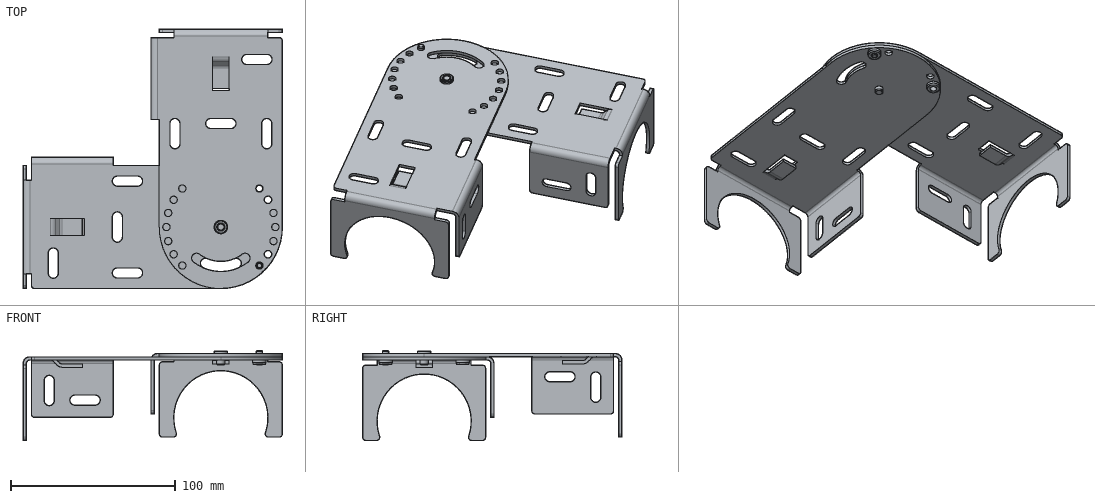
import cadquery as cq
import math


overall_length = 158.0
plate_width = 75.0
sheet = 2.0
bend_inner_radius = 2.0
bend_mid_radius = bend_inner_radius + sheet / 2
bend_outer_radius = bend_inner_radius + sheet
corner_radius = 2.0

flange_gap = 5.0
half_width = plate_width / 2
plate_reach = overall_length - half_width - flange_gap
end_flange_depth = 51.0
clamp_diameter = 57.2
clamp_axis_depth = 39.2
side_flange_length = 50.0
side_flange_depth = 37.0

slot_length = 18.3
slot_width = 6.0
slot_across = 28.0
plate_slots = [
    (56.9, slot_across, 0),
    (56.9, -slot_across, 0),
    (63.0, 0, 90),
    (102.0, -22.0, 90),
]
upright_slot_from_end = 10.9
upright_slot_depth = 20.5
level_slot_from_end = 32.7
lower_level_slot_depth = 26.4
upper_level_slot_depth = 14.2

tongue_root = 103.6
tongue_opening = 20.4
tongue_width = 10.1
tongue_length = 19.3
tongue_slope_angle = 45
tongue_slope_run = 2.5

index_radius = 33.2
index_diameter = 4.5
index_step = 15
index_limit = 45
clearance_angles = [-30, 30]
boss_angles = [-45, 45]
curved_slot_radius = 24.0
upper_slot_half_angle = 38
lower_slot_half_angle = 23
curved_slot_direction = -90

boss_diameter = 8.2
boss_rim_inset = 0.5
upper_boss_height = 1.6
lower_boss_height = 2.5
lower_boss_rim_height = 1.0
upper_boss_rim_height = 0.5
pivot_diameter = 5.0
pivot_top = sheet + 1.5
lock_diameter = 4.0
lock_top = sheet + 1.9
lock_angle = -45
pin_bottom = -sheet - 3.0
pin_chamfer = 0.6
cut_depth = 15.8


def polar(radius, angle):
    return (radius * math.cos(math.radians(angle)), radius * math.sin(math.radians(angle)))


def cylinder(diameter, bottom, top, x=0, y=0):
    return cq.Workplane("XY", origin=(x, y, bottom)).circle(diameter / 2).extrude(top - bottom)


def holes_through(diameter, points):
    holes = cq.Workplane("XY").pushPoints(points).circle(diameter / 2)
    return holes.extrude(cut_depth, both=True)


def straight_slot(x, y, angle):
    slot = cq.Workplane("XY", origin=(x, y, 0)).slot2D(slot_length, slot_width, angle)
    return slot.extrude(cut_depth, both=True)


def bent_strip(width, depth):
    """Strip leaving a plate edge at X = 0 toward -X and turning down to the given depth."""
    path = (
        cq.Workplane("XZ", origin=(0, 0, -sheet / 2))
        .lineTo(bend_outer_radius - flange_gap, 0)
        .tangentArcPoint((-bend_mid_radius, -bend_mid_radius))
        .lineTo(sheet / 2 - flange_gap, sheet / 2 - depth)
    )
    section = cq.Workplane("YZ", origin=(0, 0, -sheet / 2)).rect(width, sheet)
    return section.sweep(path)


def end_flange():
    """Flange at the end of the plate, with a C-shaped opening that holds a tube."""
    crown_depth = clamp_axis_depth - clamp_diameter / 2
    neck = bent_strip(clamp_diameter, crown_depth)
    wall_height = end_flange_depth - flange_gap
    wall = (
        cq.Workplane("XY")
        .box(sheet, plate_width, wall_height, centered=(False, True, False))
        .translate((-flange_gap, 0, -end_flange_depth))
    )
    opening = (
        cq.Workplane("YZ", origin=(0, 0, -clamp_axis_depth))
        .circle(clamp_diameter / 2)
        .extrude(cut_depth, both=True)
    )
    wall = wall.cut(opening).edges("|X").fillet(corner_radius)
    return neck.union(wall).translate((-plate_reach, 0, 0))


def side_flange(level_slot_depth):
    """Slotted flange along the +Y edge, starting at the end of the plate."""
    flange = bent_strip(side_flange_length, side_flange_depth)
    flange = flange.faces("<Z").edges("|X").fillet(corner_radius)
    flange = flange.rotate((0, 0, 0), (0, 0, 1), -90)
    flange = flange.translate((side_flange_length / 2 - plate_reach, half_width, 0))
    slots = [
        (upright_slot_from_end, upright_slot_depth, 90),
        (level_slot_from_end, level_slot_depth, 0),
    ]
    for from_end, depth, angle in slots:
        slot = straight_slot(from_end - plate_reach, 0, angle)
        slot = slot.rotate((0, 0, 0), (1, 0, 0), 90)
        flange = flange.cut(slot.translate((0, half_width, -depth)))
    return flange


def tongue():
    """Tongue bent down at its root and bent level again below the plate."""
    angle = math.radians(tongue_slope_angle)
    bend_run = bend_mid_radius * math.sin(angle)
    bend_drop = bend_mid_radius * (1 - math.cos(angle))
    slope_drop = tongue_slope_run * math.tan(angle)
    level_length = tongue_length - 2 * bend_run - tongue_slope_run
    path = (
        cq.Workplane("XZ", origin=(-tongue_root, 0, -sheet / 2))
        .moveTo(-sheet, 0)
        .lineTo(0, 0)
        .tangentArcPoint((bend_run, -bend_drop))
        .line(tongue_slope_run, -slope_drop)
        .tangentArcPoint((bend_run, -bend_drop))
        .line(level_length, 0)
    )
    section = cq.Workplane("YZ", origin=(-tongue_root - sheet, 0, -sheet / 2)).rect(tongue_width, sheet)
    return section.sweep(path)


def plate():
    """Flat plate rounded around the pivot, with its straight slots and the tongue opening."""
    body = (
        cq.Workplane("XY", origin=(0, 0, -sheet))
        .moveTo(0, half_width)
        .lineTo(-plate_reach, half_width)
        .lineTo(-plate_reach, -half_width)
        .lineTo(0, -half_width)
        .threePointArc((half_width, 0), (0, half_width))
        .close()
        .extrude(sheet)
    )
    body = body.edges("|Z and <X and <Y").fillet(corner_radius)
    for distance, across, angle in plate_slots:
        body = body.cut(straight_slot(-distance, across, angle))
    opening = cq.Workplane("XY").box(tongue_opening, tongue_width, cut_depth, centered=(False, True, True))
    return body.cut(opening.translate((-tongue_root, 0, 0)))


def bracket(level_slot_depth):
    flanges = end_flange().union(side_flange(level_slot_depth))
    return plate().union(tongue()).union(flanges)


def curved_slot(half_angle):
    """Slot along an arc around the pivot, with round ends."""
    inner = curved_slot_radius - slot_width / 2
    outer = curved_slot_radius + slot_width / 2
    start = curved_slot_direction - half_angle
    end = curved_slot_direction + half_angle
    slot = (
        cq.Workplane("XY")
        .moveTo(*polar(outer, start))
        .threePointArc(polar(outer, curved_slot_direction), polar(outer, end))
        .tangentArcPoint(polar(inner, end), relative=False)
        .threePointArc(polar(inner, curved_slot_direction), polar(inner, start))
        .tangentArcPoint(polar(outer, start), relative=False)
        .close()
    )
    return slot.extrude(cut_depth, both=True)


def lower_bracket():
    """Bracket toward -X, with a boss under each of its two locking holes."""
    body = bracket(lower_level_slot_depth).cut(curved_slot(lower_slot_half_angle))
    boss_points = [polar(index_radius, angle) for angle in boss_angles]
    for x, y in boss_points:
        boss = cylinder(boss_diameter, -sheet - lower_boss_height, -sheet, x, y)
        boss = boss.faces("<Z").chamfer(lower_boss_rim_height, boss_rim_inset)
        body = body.union(boss)
    clearance_points = [polar(index_radius, angle) for angle in clearance_angles]
    body = body.cut(holes_through(index_diameter, clearance_points))
    body = body.cut(holes_through(lock_diameter, boss_points))
    return body.cut(holes_through(pivot_diameter, [(0, 0)]))


def upper_bracket():
    """Mirrored bracket toward +Y, with two rows of indexing holes and a boss on the pivot."""
    body = bracket(upper_level_slot_depth).mirror("XZ")
    body = body.rotate((0, 0, 0), (0, 0, 1), -90).translate((0, 0, sheet))
    body = body.cut(curved_slot(upper_slot_half_angle))
    index_points = [
        polar(index_radius, side + angle)
        for side in (0, 180)
        for angle in range(-index_limit, index_limit + 1, index_step)
    ]
    body = body.cut(holes_through(index_diameter, index_points))
    boss = cylinder(boss_diameter, sheet, sheet + upper_boss_height)
    boss = boss.faces(">Z").chamfer(upper_boss_rim_height, boss_rim_inset)
    return body.union(boss).cut(holes_through(pivot_diameter, [(0, 0)]))


def pin(diameter, top, x=0, y=0):
    """Straight pin with both ends chamfered."""
    return cylinder(diameter, pin_bottom, top, x, y).faces("<Z or >Z").chamfer(pin_chamfer)


lower = lower_bracket()
upper = upper_bracket()
pivot_pin = pin(pivot_diameter, pivot_top)
locking_pin = pin(lock_diameter, lock_top, *polar(index_radius, lock_angle))

result = cq.Compound.makeCompound([lower.val(), upper.val(), pivot_pin.val(), locking_pin.val()])